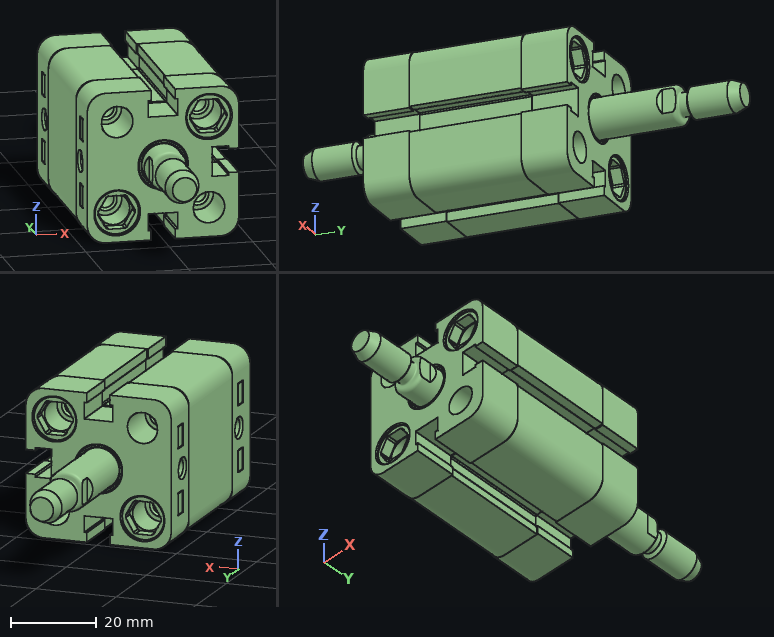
import cadquery as cq
import math


width = 36.3
cap_length = 11.8
barrel_length = 28.7
housing_length = barrel_length + 2 * cap_length
cap_corner_radius = 4.4
barrel_corner_radius = 4.75

slot_angles = (0, 90, 180)
slot_lip = 2.4
slot_inner_width = 7.1
cap_slot_opening = 5.75
cap_slot_depth = 6.4
barrel_slot_opening = 6.4
barrel_slot_depth = 6.1
barrel_slot_corner = 0.4

thread_core_diameter = 4.13
thread_mouth_diameter = 5.3

bolt_pitch = 22
bolt_clearance = 7.5
bolt_thread_depth = 10

socket_clearance = 7.55
socket_recess_diameter = 10.48
socket_recess_mouth = 11.1
socket_recess_depth = 0.6
socket_across_flats = 8
socket_corner_diameter = 8.9
socket_depth = 3.5

port_inset = 7.5
label_inset = 6.3
label_offset = 8.1
label_length = 3.2
label_height = 5.3
label_depth = 0.2

rod_diameter = 10
rod_mouth_diameter = 12
rod_mouth_floor_diameter = 11.4
rod_clearance_diameter = 10.48
front_rod_reach = 22.4
stroke = 15
rear_rod_reach = front_rod_reach + stroke
thread_diameter = 8
thread_tip_diameter = 5.8
thread_tip_length = 2.8
thread_length = 13.0
neck_diameter = 5.8
neck_cone_length = 0.65
neck_fillet = 0.35
rod_end_distance = 16
rod_end_fillet = 1
flats_across = 8
flats_end_distance = 19.4


def cone_y(center, start_diameter, end_diameter, length):
    """Truncated cone that starts at center and runs along +Y."""
    x, y, z = center
    profile = [(0, 0), (start_diameter / 2, 0), (end_diameter / 2, length), (0, length)]
    return (
        cq.Workplane("XY")
        .polyline(profile)
        .close()
        .revolve(360, (0, 0, 0), (0, 1, 0))
        .translate((x, y, z))
    )


def cylinder_y(center, diameter, length):
    """Cylinder that starts at center and runs along +Y."""
    return cone_y(center, diameter, diameter, length)


def threaded_hole(depth):
    """Cutter for a countersunk threaded hole that starts at the origin and runs along +Y."""
    countersink_length = (thread_mouth_diameter - thread_core_diameter) / 2
    countersink = cone_y((0, 0, 0), thread_mouth_diameter, thread_core_diameter, countersink_length)
    return countersink.union(cylinder_y((0, 0, 0), thread_core_diameter, depth))


def square_bar(length, corner_radius):
    """Square bar with rounded long edges, from Y = 0 to Y = length."""
    return (
        cq.Workplane("XY")
        .box(width, length, width)
        .edges("|Y")
        .fillet(corner_radius)
        .translate((0, length / 2, 0))
    )


def slots(length, opening, depth, corner=0):
    """Cutters for the T-slots, from Y = 0 to Y = length."""
    side = width / 2
    channel_height = depth - slot_lip
    mouth = cq.Workplane("XY").box(opening, length, depth).translate((0, length / 2, side - depth / 2))
    channel = cq.Workplane("XY").box(slot_inner_width, length, channel_height)
    if corner:
        channel = channel.edges("|Y").chamfer(corner)
    channel = channel.translate((0, length / 2, side - slot_lip - channel_height / 2))
    slot = mouth.union(channel)
    cutters = cq.Workplane("XY")
    for angle in slot_angles:
        cutters = cutters.add(slot.rotate((0, 0, 0), (0, 1, 0), angle))
    return cutters.combine()


def socket(x, z):
    """Cutter for a hexagon socket in a round recess, from the face at Y = 0 through the cap."""
    mouth_length = (socket_recess_mouth - socket_recess_diameter) / 2
    hexagon = (
        cq.Workplane("XZ")
        .polygon(6, socket_across_flats / math.cos(math.pi / 6))
        .extrude(-socket_depth)
        .translate((x, 0, z))
        .intersect(cylinder_y((x, 0, z), socket_corner_diameter, socket_depth))
    )
    return (
        cylinder_y((x, 0, z), socket_clearance, cap_length)
        .union(cone_y((x, 0, z), socket_recess_mouth, socket_recess_diameter, mouth_length))
        .union(cylinder_y((x, 0, z), socket_recess_diameter, socket_recess_depth))
        .union(hexagon)
    )


def make_cap():
    """End cap with its outer face at Y = 0 and its inner face at Y = cap_length."""
    cap = square_bar(cap_length, cap_corner_radius)
    cap = cap.cut(slots(cap_length, cap_slot_opening, cap_slot_depth))

    mouth_length = (rod_mouth_diameter - rod_mouth_floor_diameter) / 2
    cap = cap.cut(cylinder_y((0, 0, 0), rod_diameter, cap_length))
    cap = cap.cut(cone_y((0, 0, 0), rod_mouth_diameter, rod_mouth_floor_diameter, mouth_length))
    clearance_length = (rod_clearance_diameter - rod_diameter) / 2
    clearance = cone_y((0, mouth_length, 0), rod_clearance_diameter, rod_diameter, clearance_length)
    cap = cap.cut(clearance)

    reach = bolt_pitch / 2
    for side in (-1, 1):
        cap = cap.cut(socket(side * reach, side * reach))
        cap = cap.cut(cylinder_y((side * reach, 0, -side * reach), bolt_clearance, cap_length))

    port = threaded_hole(width / 2).rotate((0, 0, 0), (0, 0, 1), -90)
    cap = cap.cut(port.translate((-width / 2, port_inset, 0)))

    for side in (-1, 1):
        pocket = cq.Workplane("XY").box(2 * label_depth, label_length, label_height)
        cap = cap.cut(pocket.translate((-width / 2, label_inset, side * label_offset)))
    return cap


def make_barrel():
    """Profile barrel from Y = 0 to Y = barrel_length, with threaded corner holes in both ends."""
    barrel = square_bar(barrel_length, barrel_corner_radius)
    barrel = barrel.cut(slots(barrel_length, barrel_slot_opening, barrel_slot_depth, barrel_slot_corner))
    barrel = barrel.cut(cylinder_y((0, 0, 0), rod_diameter, barrel_length))
    front_hole = threaded_hole(bolt_thread_depth)
    rear_hole = front_hole.mirror("XZ").translate((0, barrel_length, 0))
    reach = bolt_pitch / 2
    for x in (-reach, reach):
        for z in (-reach, reach):
            barrel = barrel.cut(front_hole.translate((x, 0, z)))
            barrel = barrel.cut(rear_hole.translate((x, 0, z)))
    return barrel


def make_rod(length):
    """Rod with a threaded end and wrench flats. The tip is at Y = 0 and the inner end at Y = length."""
    rod_radius = rod_diameter / 2
    thread_radius = thread_diameter / 2
    neck_radius = neck_diameter / 2
    rod = (
        cq.Workplane("XY")
        .lineTo(thread_tip_diameter / 2, 0)
        .lineTo(thread_radius, thread_tip_length)
        .lineTo(thread_radius, thread_length)
        .lineTo(neck_radius, thread_length + neck_cone_length)
        .lineTo(neck_radius, rod_end_distance - neck_fillet)
        .radiusArc((neck_radius + neck_fillet, rod_end_distance), neck_fillet)
        .lineTo(rod_radius - rod_end_fillet, rod_end_distance)
        .radiusArc((rod_radius, rod_end_distance + rod_end_fillet), -rod_end_fillet)
        .lineTo(rod_radius, length)
        .lineTo(0, length)
        .close()
        .revolve(360, (0, 0, 0), (0, 1, 0))
    )

    flat = flats_across / 2
    flat_depth = rod_radius - flat
    for side in (-1, 1):
        cutter = (
            cq.Workplane("XY")
            .polyline(
                [
                    (side * flat, rod_end_distance),
                    (side * rod_radius, rod_end_distance),
                    (side * rod_radius, flats_end_distance + flat_depth),
                    (side * flat, flats_end_distance),
                ]
            )
            .close()
            .extrude(rod_radius, both=True)
        )
        rod = rod.cut(cutter)
    return rod


half_housing = housing_length / 2

front_cap = make_cap().translate((0, -half_housing, 0))
rear_cap = make_cap().mirror("XZ").translate((0, half_housing, 0))
barrel = make_barrel().translate((0, -barrel_length / 2, 0))

front_rod_length = half_housing + front_rod_reach
rear_rod_length = half_housing + rear_rod_reach
front_rod = make_rod(front_rod_length).translate((0, -front_rod_length, 0))
rear_rod = make_rod(rear_rod_length).mirror("XZ").translate((0, rear_rod_length, 0))

bodies = [front_cap, barrel, rear_cap, front_rod, rear_rod]
result = cq.Compound.makeCompound([body.val() for body in bodies])